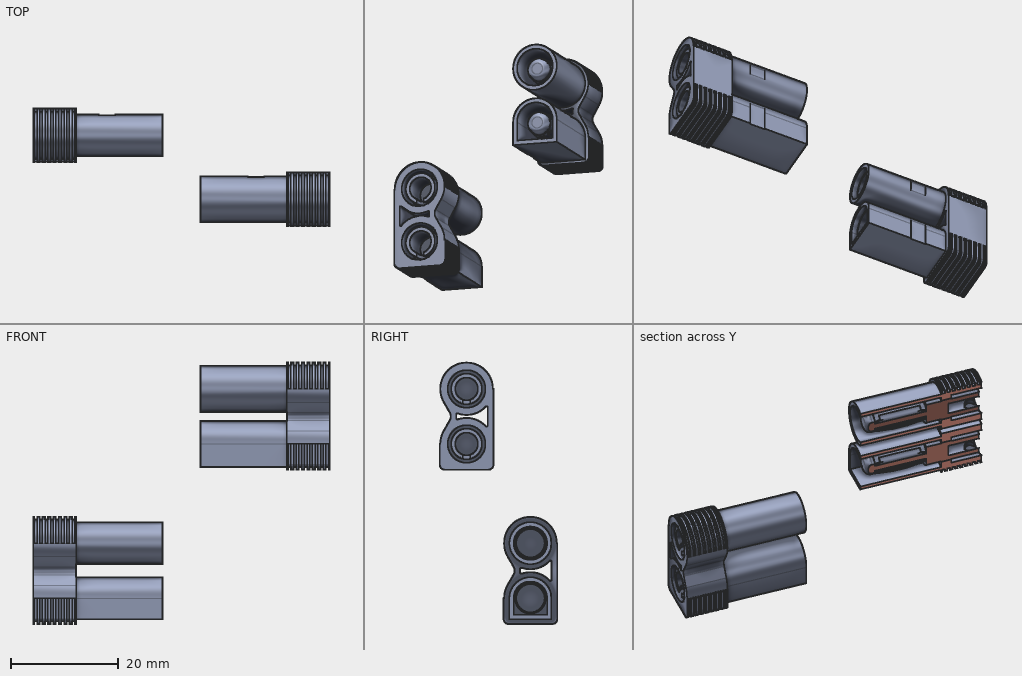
import cadquery as cq
import math


pole_spacing = 10.2
pole_heights = (0.0, pole_spacing)
plug_position = (55.02, -11.83, 28.59)

grip_length = 8.0
grip_radius = 4.9
grip_half_width = 5.0
foot_drop = 4.8
flank_angle = math.radians(30)
waist_radius = 1.5
corner_radius = 1.0
groove_count = 8
groove_pitch = grip_length / groove_count
groove_width = groove_pitch / 2
groove_depth = 0.5

web_radius = 4.85
side_wall = 1.1
opening_half_depth = 1.9
opening_corner_radius = 0.2

connector_length = 24.0
barrel_wall = 0.8
plug_barrel_diameter = 8.6
socket_barrel_diameter = 7.8

notch_start = 12.2
notch_length = 3.0
notch_depth = 0.15

entry_diameter = 7.0
entry_depth = 6.0

contact_start = 0.5
contact_diameter = 5.7
cup_bore = 4.2
cup_depth = 6.0
solder_window_diameter = 2.4
solder_window_mouth = 1.35

socket_contact_end = 23.0
socket_bore = 5.25
socket_bore_depth = 13.0

pin_end = 22.8
shoulder_end = 11.0
head_diameter = 4.2
head_length = 1.7
head_rounding = head_diameter / 4
shaft_diameter = 3.8
spring_start = shoulder_end
spring_end = pin_end - head_length

spring_end_diameter = head_diameter
spring_bulge_diameter = 5.04
spring_ring_length = 1.0
leaf_count = 8
leaf_gap = 0.95


def rod(diameter, start, end, height=0.0):
    """Cylinder along X between two stations, at a given height."""
    return (
        cq.Workplane("YZ", origin=(start, 0, height))
        .circle(diameter / 2)
        .extrude(end - start)
    )


def block(x_range, y_range, z_range):
    """Axis-aligned block between pairs of limits."""
    limits = (x_range, y_range, z_range)
    sizes = [high - low for low, high in limits]
    corner = [low for low, high in limits]
    return cq.Workplane("XY").box(*sizes, centered=False).translate(tuple(corner))


def arch_prism(radius, start, end):
    """Prism around the lower pole: half-round above the axis, square below."""
    return (
        cq.Workplane("YZ", origin=(start, 0, 0))
        .moveTo(radius, 0)
        .threePointArc((0, radius), (-radius, 0))
        .lineTo(-radius, -radius)
        .lineTo(radius, -radius)
        .close()
        .extrude(end - start)
    )


def grip_body():
    """Grip with a flat +Y side, a waisted -Y side and a square foot."""
    middle = pole_spacing / 2
    cosine = math.cos(flank_angle)
    sine = math.sin(flank_angle)
    flank_y = -grip_radius * cosine
    flank_z = grip_radius * sine
    arc_y = -grip_radius * math.cos(flank_angle / 2)
    arc_z = grip_radius * math.sin(flank_angle / 2)
    waist_center = (middle * sine - grip_radius - waist_radius) / cosine
    waist_y = waist_center + waist_radius
    fillet_y = waist_center + waist_radius * cosine
    fillet_rise = waist_radius * sine
    return (
        cq.Workplane("YZ")
        .moveTo(grip_radius, pole_spacing)
        .threePointArc((0, pole_spacing + grip_radius), (-grip_radius, pole_spacing))
        .threePointArc((arc_y, pole_spacing - arc_z), (flank_y, pole_spacing - flank_z))
        .lineTo(fillet_y, middle + fillet_rise)
        .threePointArc((waist_y, middle), (fillet_y, middle - fillet_rise))
        .lineTo(flank_y, flank_z)
        .threePointArc((arc_y, arc_z), (-grip_radius, 0))
        .lineTo(-grip_half_width, 0)
        .lineTo(-grip_half_width, -foot_drop)
        .lineTo(grip_half_width, -foot_drop)
        .lineTo(grip_half_width, pole_spacing)
        .close()
        .extrude(grip_length)
        .edges("|X and <Z")
        .fillet(corner_radius)
    )


def grip_groove(start):
    """Material of one groove: over the top pole, and around the square foot."""
    end = start + groove_width
    floor_radius = grip_radius - groove_depth
    floor_half_width = grip_half_width - groove_depth
    top = block(
        (start, end),
        (-grip_radius, grip_radius),
        (pole_spacing, pole_spacing + grip_radius),
    )
    top = top.cut(rod(2 * floor_radius, start, end, pole_spacing))
    core = block((start, end), (-floor_half_width, floor_half_width), (groove_depth - foot_drop, 0))
    core = core.edges("|X and <Z").fillet(corner_radius - groove_depth)
    foot = block((start, end), (-grip_half_width, grip_half_width), (-foot_drop, 0)).cut(core)
    return top, foot


def pole_opening():
    """Opening through the grip, bounded by the walls round the two poles."""
    opening = block(
        (0, grip_length),
        (-opening_half_depth, grip_half_width - side_wall),
        (0, pole_spacing),
    )
    for height in pole_heights:
        opening = opening.cut(rod(2 * web_radius, 0, grip_length, height))
    return opening.edges("|X").fillet(opening_corner_radius)


def housing(barrel_diameter):
    """Housing with a ribbed grip, a round upper barrel and an arched lower barrel."""
    barrel_radius = barrel_diameter / 2
    bore_radius = barrel_radius - barrel_wall
    body = grip_body()
    for index in range(groove_count):
        start = index * groove_pitch + (groove_pitch - groove_width) / 2
        for groove in grip_groove(start):
            body = body.cut(groove)
    body = body.cut(pole_opening())

    body = body.union(rod(barrel_diameter, grip_length, connector_length, pole_spacing))
    body = body.union(arch_prism(barrel_radius, grip_length, connector_length))
    body = body.cut(rod(2 * bore_radius, grip_length, connector_length, pole_spacing))
    body = body.cut(arch_prism(bore_radius, grip_length, connector_length))

    for height in pole_heights:
        body = body.cut(rod(entry_diameter, 0, entry_depth, height))
        body = body.cut(rod(contact_diameter, entry_depth, grip_length, height))

    notch = block(
        (notch_start, notch_start + notch_length),
        (barrel_radius - notch_depth, barrel_radius),
        (-barrel_radius, pole_spacing + barrel_radius),
    )
    return body.cut(notch)


def cut_solder_cup(contact):
    """Bore the wire end of a contact and open a round window in the underside of its rim."""
    window_radius = solder_window_diameter / 2
    window_x = contact_start + math.sqrt(window_radius**2 - (solder_window_mouth / 2) ** 2)
    window = (
        cq.Workplane("XY", origin=(window_x, 0, 0))
        .circle(window_radius)
        .extrude(-contact_diameter / 2)
    )
    cup = rod(cup_bore, contact_start, contact_start + cup_depth)
    return contact.cut(cup).cut(window)


def socket_contact():
    """Tubular contact that receives a pin."""
    contact = rod(contact_diameter, contact_start, socket_contact_end)
    contact = contact.cut(
        rod(socket_bore, socket_contact_end - socket_bore_depth, socket_contact_end)
    )
    return cut_solder_cup(contact)


def pin_contact():
    """Contact with a shoulder, a thin shaft and a rounded head."""
    shoulder = rod(contact_diameter, contact_start, shoulder_end)
    shaft = rod(shaft_diameter, shoulder_end, spring_end)
    head = rod(head_diameter, spring_end, pin_end).faces(">X").edges().fillet(head_rounding)
    return cut_solder_cup(shoulder.union(shaft).union(head))


def cage_spring():
    """Barrel-shaped spring sleeve, slotted into leaves between two end rings."""
    middle = (spring_start + spring_end) / 2
    end_radius = spring_end_diameter / 2
    bulge_radius = spring_bulge_diameter / 2
    bore_radius = shaft_diameter / 2
    bore_bulge_radius = bore_radius + bulge_radius - end_radius
    sleeve = (
        cq.Workplane("XY")
        .moveTo(spring_start, bore_radius)
        .lineTo(spring_start, end_radius)
        .threePointArc((middle, bulge_radius), (spring_end, end_radius))
        .lineTo(spring_end, bore_radius)
        .threePointArc((middle, bore_bulge_radius), (spring_start, bore_radius))
        .close()
        .revolve(360, (0, 0, 0), (1, 0, 0))
    )
    gap = block(
        (spring_start + spring_ring_length, spring_end - spring_ring_length),
        (-leaf_gap / 2, leaf_gap / 2),
        (0, spring_bulge_diameter),
    )
    for index in range(leaf_count):
        sleeve = sleeve.cut(gap.rotate((0, 0, 0), (1, 0, 0), index * 360 / leaf_count))
    return sleeve


def at_poles(body):
    """One copy of a body at each pole."""
    return [body.translate((0, 0, height)) for height in pole_heights]


def place_plug(body):
    """Face a body towards -X and move it to the plug."""
    return body.mirror("YZ").translate(plug_position)


socket_housing = housing(socket_barrel_diameter)
socket_contacts = at_poles(socket_contact())

plug_housing = place_plug(housing(plug_barrel_diameter))
pin_contacts = [place_plug(pin) for pin in at_poles(pin_contact())]
cage_springs = [place_plug(spring) for spring in at_poles(cage_spring())]

result = cq.Compound.makeCompound(
    [
        socket_housing.val(),
        *[contact.val() for contact in socket_contacts],
        plug_housing.val(),
        *[pin.val() for pin in pin_contacts],
        *[spring.val() for spring in cage_springs],
    ]
)